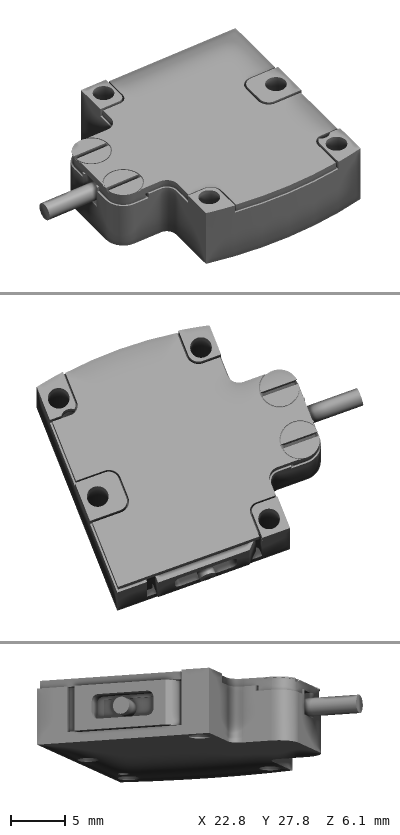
import cadquery as cq
import math

BLOCK_WIDTH = 21.05
BLOCK_DEPTH = 17.0
BOW_HEIGHT = 0.95
NECK_LEFT = 5.8
NECK_RIGHT = 15.0
NECK_LENGTH = 5.8
NECK_CORNER_RADIUS = 1.9
NECK_ROOT_RADIUS = 1.0
NECK_CENTER = (NECK_LEFT + NECK_RIGHT) / 2
BOW_RADIUS = ((BLOCK_DEPTH / 2) ** 2 + BOW_HEIGHT**2) / (2 * BOW_HEIGHT)
BOW_CENTER_X = BLOCK_WIDTH + BOW_HEIGHT - BOW_RADIUS

BOSS_TOP = 6.1
LID_TOP = 6.0
LID_SEAT = 5.25
NECK_SEAT = 4.75

LID_GAP = 0.17
LID_LEFT_GAP = 0.25
BOSS_GAP = 0.19
NECK_STEP_Y = -2.33
LIP_START_Y = -2.57

OVERHANG = 4.0
MOUNT_HOLE_DIAMETER = 2.0
HOLE_ROW_LOW = 1.5
HOLE_ROW_HIGH = 15.5
HOLE_COLUMN_RIGHT = 19.3
MIDDLE_HOLE_X = 9.1
MIDDLE_BOSS_HALF_WIDTH = 1.97
RIGHT_LIMIT = BLOCK_WIDTH + OVERHANG
TOP_LIMIT = BLOCK_DEPTH + OVERHANG
BOSSES = [
    (-OVERHANG, 3.27, -OVERHANG, 2.73, 0.7),
    (18.03, RIGHT_LIMIT, -OVERHANG, 2.85, 1.0),
    (17.61, RIGHT_LIMIT, 14.23, TOP_LIMIT, 0.8),
    (
        MIDDLE_HOLE_X - MIDDLE_BOSS_HALF_WIDTH,
        MIDDLE_HOLE_X + MIDDLE_BOSS_HALF_WIDTH,
        13.07,
        TOP_LIMIT,
        0.95,
    ),
]
MOUNT_HOLES = [
    (1.5, HOLE_ROW_LOW),
    (HOLE_COLUMN_RIGHT, HOLE_ROW_LOW),
    (HOLE_COLUMN_RIGHT, HOLE_ROW_HIGH),
    (MIDDLE_HOLE_X, HOLE_ROW_HIGH),
]

SINK_HOLE_CENTER = (17.08, 15.12)
SINK_TOP_RADIUS = 0.93
SINK_HOLE_RADIUS = 0.55
SINK_DEPTH = SINK_TOP_RADIUS - SINK_HOLE_RADIUS

SCREW_RADIUS = 1.8
SCREW_GROOVE_RADIUS = NECK_CORNER_RADIUS
SCREW_GROOVE_DEPTH = 0.12
SCREW_SLOT_WIDTH = 0.43
SCREW_SLOT_DEPTH = 0.5
SCREW_Y = -NECK_LENGTH + NECK_CORNER_RADIUS
SCREW_XS = [NECK_LEFT + NECK_CORNER_RADIUS, NECK_RIGHT - NECK_CORNER_RADIUS]

CABLE_DIAMETER = 1.7
CABLE_OVERHANG = 5.0
CABLE_INNER_LENGTH = NECK_LENGTH + NECK_STEP_Y
CHANNEL_FLOOR = 2.9
CHANNEL_MOUTH_WIDTH = 2.4
CHANNEL_CHEEK_WIDTH = 2.54
CHANNEL_CHEEK_LENGTH = 1.5
LID_NOTCH_WIDTH = CHANNEL_CHEEK_WIDTH + 2 * BOSS_GAP
CABLE_CENTER_Z = CHANNEL_FLOOR + CABLE_DIAMETER / 2

FRAME_FRONT_X = -0.4
FRAME_BACK_X = 1.0
FRAME_LOW_Y = 3.14
FRAME_HIGH_Y = 13.14
FRAME_BOTTOM = 1.0
FRAME_TOP = 5.2
FRAME_CHAMFER = 1.0
FRAME_SLOT_LENGTH = 6.1
FRAME_SLOT_HEIGHT = 2.3
FRAME_SLOT_CENTER_Z = 3.12
FRAME_SLOT_RADIUS = 0.62
RECESS_BOTTOM = 0.92
RECESS_HIGH_Y = 13.3
RECESS_CORNER_RADIUS = 0.4
RECESS_LOW_Y = FRAME_LOW_Y - RECESS_CORNER_RADIUS
SIDE_RECESS_DEPTH = 0.6
SIDE_RECESS_HIGH_Y = 14.06

WINDOW_CENTER_Y = 8.4
WINDOW_LENGTH = 4.8
WINDOW_BOTTOM = 1.93
WINDOW_TOP = 3.94
WINDOW_DEPTH = 0.1
WINDOW_BACK_X = FRAME_BACK_X + WINDOW_DEPTH
PIN_DIAMETER = 1.6
PIN_TIP_X = -0.8
PIN_CENTER_Z = 3.0


def block_between(x_range, y_range, z_range):
    """Box spanning three (low, high) ranges."""
    size = [high - low for low, high in (x_range, y_range, z_range)]
    corner = cq.Vector(x_range[0], y_range[0], z_range[0])
    return cq.Workplane(obj=cq.Solid.makeBox(*size, corner))


def plan_solid(inset, bottom, top):
    """Housing plan drawn in by `inset` all round and extruded from bottom to top."""
    left = inset
    low = inset
    high = BLOCK_DEPTH - inset
    neck_left = NECK_LEFT + inset
    neck_right = NECK_RIGHT - inset
    neck_end = -NECK_LENGTH + inset
    root = NECK_ROOT_RADIUS + inset
    corner = NECK_CORNER_RADIUS - inset
    bow_radius = BOW_RADIUS - inset
    half_depth = BLOCK_DEPTH / 2 - inset
    right = BOW_CENTER_X + math.sqrt(bow_radius**2 - half_depth**2)
    return (
        cq.Workplane("XY", origin=(0, 0, bottom))
        .moveTo(left, low)
        .lineTo(neck_left - root, low)
        .tangentArcPoint((root, -root))
        .lineTo(neck_left, neck_end + corner)
        .tangentArcPoint((corner, -corner))
        .lineTo(neck_right - corner, neck_end)
        .tangentArcPoint((corner, corner))
        .lineTo(neck_right, low - root)
        .tangentArcPoint((root, root))
        .lineTo(right, low)
        .threePointArc((BOW_CENTER_X + bow_radius, BLOCK_DEPTH / 2), (right, high))
        .lineTo(left, high)
        .close()
        .extrude(top - bottom)
    )


def boss_block(boss, grow):
    """Rounded block of one boss, grown sideways by `grow`, from the lid seat to the boss top."""
    left, right, low, high, radius = boss
    block = block_between(
        (left - grow, right + grow), (low - grow, high + grow), (LID_SEAT, BOSS_TOP)
    )
    return block.edges("|Z").fillet(radius + grow)


def cheek_block(width, start_y, end_y):
    """Block centred on the cable, between the neck seat and the lid seat."""
    half = width / 2
    return block_between(
        (NECK_CENTER - half, NECK_CENTER + half), (start_y, end_y), (NECK_SEAT, LID_SEAT)
    )


def cable_channel():
    """Open channel for the cable, with a rounded flare at its mouth."""
    half = CABLE_DIAMETER / 2
    flare = CHANNEL_MOUTH_WIDTH / 2 - half
    outer_y = -NECK_LENGTH
    inner_y = outer_y + CABLE_INNER_LENGTH
    channel = block_between(
        (NECK_CENTER - half, NECK_CENTER + half), (outer_y, inner_y), (CHANNEL_FLOOR, LID_SEAT)
    )
    mouth = block_between(
        (NECK_CENTER - half - flare, NECK_CENTER + half + flare),
        (outer_y, outer_y + flare),
        (CHANNEL_FLOOR, LID_SEAT),
    )
    for side in (-1, 1):
        cheek_edge = (
            cq.Workplane("XY", origin=(NECK_CENTER, outer_y, CHANNEL_FLOOR))
            .center(side * (half + flare), flare)
            .circle(flare)
            .extrude(LID_SEAT - CHANNEL_FLOOR)
        )
        mouth = mouth.cut(cheek_edge)
    return channel.union(mouth)


def frame_recess():
    """Recess for the window frame, rounded at its deep -Y corner, with a shallow +Y extension."""
    deep = block_between(
        (-OVERHANG, FRAME_BACK_X), (RECESS_LOW_Y, RECESS_HIGH_Y), (RECESS_BOTTOM, LID_SEAT)
    )
    deep = deep.edges("|Z and >X and <Y").fillet(RECESS_CORNER_RADIUS)
    shallow = block_between(
        (-OVERHANG, SIDE_RECESS_DEPTH), (RECESS_HIGH_Y, SIDE_RECESS_HIGH_Y), (FRAME_BOTTOM, LID_SEAT)
    )
    return deep.union(shallow)


def window():
    """Blind rectangular window in the floor of the frame recess."""
    half = WINDOW_LENGTH / 2
    return block_between(
        (FRAME_BACK_X, WINDOW_BACK_X),
        (WINDOW_CENTER_Y - half, WINDOW_CENTER_Y + half),
        (WINDOW_BOTTOM, WINDOW_TOP),
    )


def countersunk_hole():
    bore = cq.Workplane("XY", origin=(*SINK_HOLE_CENTER, 0)).circle(SINK_HOLE_RADIUS).extrude(LID_SEAT)
    sink = cq.Solid.makeCone(
        SINK_HOLE_RADIUS,
        SINK_TOP_RADIUS,
        SINK_DEPTH,
        cq.Vector(*SINK_HOLE_CENTER, LID_SEAT - SINK_DEPTH),
    )
    clearance = (
        cq.Workplane("XY", origin=(*SINK_HOLE_CENTER, LID_SEAT))
        .circle(SINK_TOP_RADIUS)
        .extrude(BOSS_TOP - LID_SEAT)
    )
    return bore.union(cq.Workplane(obj=sink)).union(clearance)


def make_housing():
    body = plan_solid(0, 0, LID_SEAT)
    full_plan = plan_solid(0, 0, BOSS_TOP)
    for boss in BOSSES:
        body = body.union(boss_block(boss, 0).intersect(full_plan))

    neck_drop = block_between(
        (0, BLOCK_WIDTH), (-NECK_LENGTH, NECK_STEP_Y), (NECK_SEAT, LID_SEAT)
    )
    cheeks = cheek_block(CHANNEL_CHEEK_WIDTH, -NECK_LENGTH, -NECK_LENGTH + CHANNEL_CHEEK_LENGTH)
    body = body.cut(neck_drop.cut(cheeks)).cut(cable_channel())

    body = body.cut(frame_recess()).cut(window()).cut(countersunk_hole())
    mount_holes = (
        cq.Workplane("XY").pushPoints(MOUNT_HOLES).circle(MOUNT_HOLE_DIAMETER / 2).extrude(BOSS_TOP)
    )
    return body.cut(mount_holes)


def screw_head_cut(center_x):
    """Ring groove around a screw head and the driver slot across it, its ends sloping at 45 degrees."""
    ring = (
        cq.Workplane("XY", origin=(center_x, SCREW_Y, LID_TOP))
        .circle(SCREW_GROOVE_RADIUS)
        .circle(SCREW_RADIUS)
        .extrude(-SCREW_GROOVE_DEPTH)
    )
    half_floor = SCREW_GROOVE_RADIUS - (SCREW_SLOT_DEPTH - SCREW_GROOVE_DEPTH)
    slot = (
        cq.Workplane("YZ", origin=(center_x, SCREW_Y, LID_TOP))
        .moveTo(-SCREW_GROOVE_RADIUS, 0)
        .lineTo(-SCREW_GROOVE_RADIUS, -SCREW_GROOVE_DEPTH)
        .lineTo(-half_floor, -SCREW_SLOT_DEPTH)
        .lineTo(half_floor, -SCREW_SLOT_DEPTH)
        .lineTo(SCREW_GROOVE_RADIUS, -SCREW_GROOVE_DEPTH)
        .lineTo(SCREW_GROOVE_RADIUS, 0)
        .close()
        .extrude(SCREW_SLOT_WIDTH / 2, both=True)
    )
    return ring.union(slot)


def make_lid():
    plate = plan_solid(LID_GAP, LID_SEAT, LID_TOP)
    plate = plate.cut(block_between((0, LID_LEFT_GAP), (0, BLOCK_DEPTH), (LID_SEAT, LID_TOP)))
    for boss in BOSSES:
        plate = plate.cut(boss_block(boss, BOSS_GAP))

    lip_area = block_between((0, BLOCK_WIDTH), (-NECK_LENGTH, LIP_START_Y), (NECK_SEAT, LID_SEAT))
    lip = plan_solid(LID_GAP, NECK_SEAT, LID_SEAT).intersect(lip_area)
    lip = lip.cut(cheek_block(LID_NOTCH_WIDTH, -NECK_LENGTH, LIP_START_Y))
    lid = plate.union(lip)

    for center_x in SCREW_XS:
        head = (
            cq.Workplane("XY", origin=(center_x, SCREW_Y, LID_TOP))
            .circle(SCREW_RADIUS)
            .extrude(-SCREW_GROOVE_DEPTH)
        )
        lid = lid.union(head).cut(screw_head_cut(center_x))
    return lid


def make_frame():
    half = FRAME_SLOT_LENGTH / 2
    half_height = FRAME_SLOT_HEIGHT / 2
    frame = block_between(
        (FRAME_FRONT_X, FRAME_BACK_X), (FRAME_LOW_Y, FRAME_HIGH_Y), (FRAME_BOTTOM, FRAME_TOP)
    )
    frame = frame.edges("|Z and <X and <Y").chamfer(FRAME_CHAMFER)
    slot = block_between(
        (FRAME_FRONT_X, FRAME_BACK_X),
        (WINDOW_CENTER_Y - half, WINDOW_CENTER_Y + half),
        (FRAME_SLOT_CENTER_Z - half_height, FRAME_SLOT_CENTER_Z + half_height),
    )
    return frame.cut(slot.edges("|X").fillet(FRAME_SLOT_RADIUS))


def make_pin():
    pin_plane = cq.Plane(
        origin=(PIN_TIP_X, WINDOW_CENTER_Y, PIN_CENTER_Z), xDir=(0, -1, 0), normal=(1, 0, 0)
    )
    return (
        cq.Workplane(pin_plane).circle(PIN_DIAMETER / 2).extrude(WINDOW_BACK_X - PIN_TIP_X)
    )


def make_cable():
    start_y = -NECK_LENGTH + CABLE_INNER_LENGTH
    seam_up = cq.Plane(
        origin=(NECK_CENTER, start_y, CABLE_CENTER_Z), xDir=(0, 0, 1), normal=(0, -1, 0)
    )
    return (
        cq.Workplane(seam_up)
        .circle(CABLE_DIAMETER / 2)
        .extrude(CABLE_INNER_LENGTH + CABLE_OVERHANG)
    )


housing = make_housing()
lid = make_lid()
frame = make_frame()
pin = make_pin()
cable = make_cable()

bodies = [housing, lid, frame, pin, cable]
result = cq.Compound.makeCompound([body.solids().val() for body in bodies])